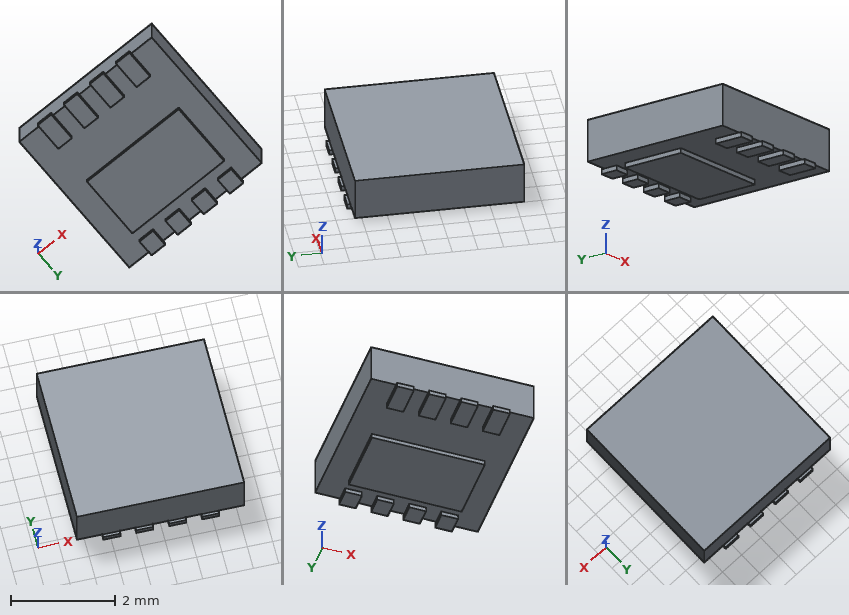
import cadquery as cq

overall_length = 3.42
housing_side = 3.3
overall_height = 0.95
metal_thickness = 0.1
housing_height = overall_height - metal_thickness

leads_per_side = 4
lead_pitch = 0.65
lead_width = 0.34
front_lead_length = 0.622
back_lead_length = 0.365

pad_width = (leads_per_side - 1) * lead_pitch + lead_width
pad_length = 1.36
pad_back_gap = 0.212
pad_back_y = overall_length / 2 - back_lead_length - pad_back_gap


def make_housing():
    """Plain square block standing on the leads and the pad."""
    return (
        cq.Workplane("XY")
        .workplane(offset=metal_thickness)
        .rect(housing_side, housing_side)
        .extrude(housing_height)
    )


def make_thermal_pad():
    """Flat plate under the housing between the two rows of leads."""
    return (
        cq.Workplane("XY")
        .center(0, pad_back_y - pad_length / 2)
        .rect(pad_width, pad_length)
        .extrude(metal_thickness)
    )


def make_lead(x, side, length):
    """Flat lead at x, its tip on the overall outline; side is -1 (front) or 1 (back)."""
    return (
        cq.Workplane("XY")
        .center(x, side * (overall_length - length) / 2)
        .rect(lead_width, length)
        .extrude(metal_thickness)
    )


housing = make_housing()
thermal_pad = make_thermal_pad()

leads = []
for side, length in ((-1, front_lead_length), (1, back_lead_length)):
    for index in range(leads_per_side):
        lead_x = (index - (leads_per_side - 1) / 2) * lead_pitch
        leads.append(make_lead(lead_x, side, length).val())

result = cq.Compound.makeCompound([housing.val(), thermal_pad.val(), *leads])